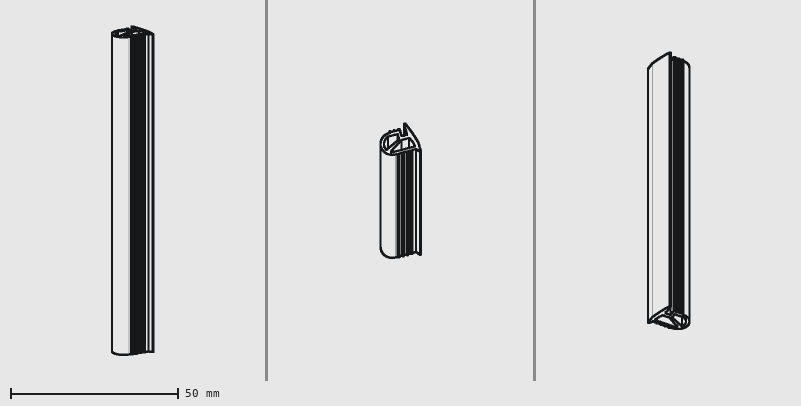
import cadquery as cq
import math

LENGTH = 100.0
BULB_RADIUS = 3.5
TOP_Y = 7.7

LIP_LEFT_X = -5.1
LIP_RIGHT_X = 4.6
LIP_TIP_Y = 5.5
LIP_TIP_THICKNESS = 0.4
LIP_ROOT_Y = 5.1
LIP_CROWN = (-1.5, 6.8)
LIP_FLAT_X = 1.8
LIP_RIGHT_ROOT_Y = 6.5

NECK_LEFT_X = -1.6
NECK_RIGHT_X = -0.4
SHELF_Y = 3.4

JAW_X = -3.7
JAW_BOTTOM_Y = 0.3

BARB_HEIGHT = 0.3
BARB_WIDTH = 0.6
BARB_PITCH = 1.35
LEFT_BARB_TOP_Y = 3.1
LEFT_BARB_COUNT = 3
RIGHT_BARB_TOP_Y = 5.1
RIGHT_BARB_COUNT = 4

UPPER_RIGHT_X = 2.6
UPPER_LEFT_TOP_Y = 5.4
UPPER_CROWN = (1.2, 6.1)
UPPER_RIGHT_TOP_Y = 6.4
UPPER_LEFT_BOTTOM_Y = 3.0
UPPER_BOTTOM_Y = -1.0
UPPER_BOTTOM_LEFT_X = 2.2

LOWER_LEFT_X = -2.5
LOWER_TOP_Y = 2.4
LOWER_TOP_RIGHT_X = -0.8
LOWER_ARC_START_Y = -0.6
LOWER_ARC_MIDDLE = (-1.2, -2.1)
LOWER_ARC_END = (1.4, -2.2)


def extrude_profile(profile):
    return profile.close().extrude(LENGTH)


def body():
    return extrude_profile(
        cq.Workplane("XY")
        .moveTo(LIP_LEFT_X, LIP_TIP_Y)
        .threePointArc(LIP_CROWN, (LIP_FLAT_X, TOP_Y))
        .lineTo(LIP_RIGHT_X, TOP_Y)
        .lineTo(LIP_RIGHT_X, TOP_Y - LIP_TIP_THICKNESS)
        .lineTo(BULB_RADIUS, LIP_RIGHT_ROOT_Y)
        .lineTo(BULB_RADIUS, 0)
        .threePointArc((0, -BULB_RADIUS), (-BULB_RADIUS, 0))
        .lineTo(-BULB_RADIUS, JAW_BOTTOM_Y)
        .lineTo(JAW_X, JAW_BOTTOM_Y)
        .lineTo(JAW_X, SHELF_Y)
        .lineTo(NECK_LEFT_X, SHELF_Y)
        .lineTo(NECK_LEFT_X, LIP_ROOT_Y)
        .lineTo(LIP_LEFT_X, LIP_TIP_Y - LIP_TIP_THICKNESS)
    )


def upper_cavity():
    return extrude_profile(
        cq.Workplane("XY")
        .moveTo(NECK_RIGHT_X, UPPER_LEFT_TOP_Y)
        .threePointArc(UPPER_CROWN, (UPPER_RIGHT_X, UPPER_RIGHT_TOP_Y))
        .lineTo(UPPER_RIGHT_X, UPPER_BOTTOM_Y)
        .lineTo(UPPER_BOTTOM_LEFT_X, UPPER_BOTTOM_Y)
        .lineTo(NECK_RIGHT_X, UPPER_LEFT_BOTTOM_Y)
    )


def lower_cavity():
    return extrude_profile(
        cq.Workplane("XY")
        .moveTo(LOWER_TOP_RIGHT_X, LOWER_TOP_Y)
        .lineTo(LOWER_LEFT_X, LOWER_TOP_Y)
        .lineTo(LOWER_LEFT_X, LOWER_ARC_START_Y)
        .threePointArc(LOWER_ARC_MIDDLE, LOWER_ARC_END)
    )


def barb(wall_x, y):
    """Triangular ridge pointing outward from a wall."""
    side = math.copysign(1, wall_x)
    half_width = BARB_WIDTH / 2
    return extrude_profile(
        cq.Workplane("XY")
        .moveTo(wall_x, y + half_width)
        .lineTo(wall_x + side * BARB_HEIGHT, y)
        .lineTo(wall_x, y - half_width)
        .lineTo(wall_x - side * BARB_HEIGHT, y)
    )


result = body().cut(upper_cavity()).cut(lower_cavity())
for index in range(LEFT_BARB_COUNT):
    result = result.union(barb(JAW_X, LEFT_BARB_TOP_Y - index * BARB_PITCH))
for index in range(RIGHT_BARB_COUNT):
    result = result.union(barb(BULB_RADIUS, RIGHT_BARB_TOP_Y - index * BARB_PITCH))